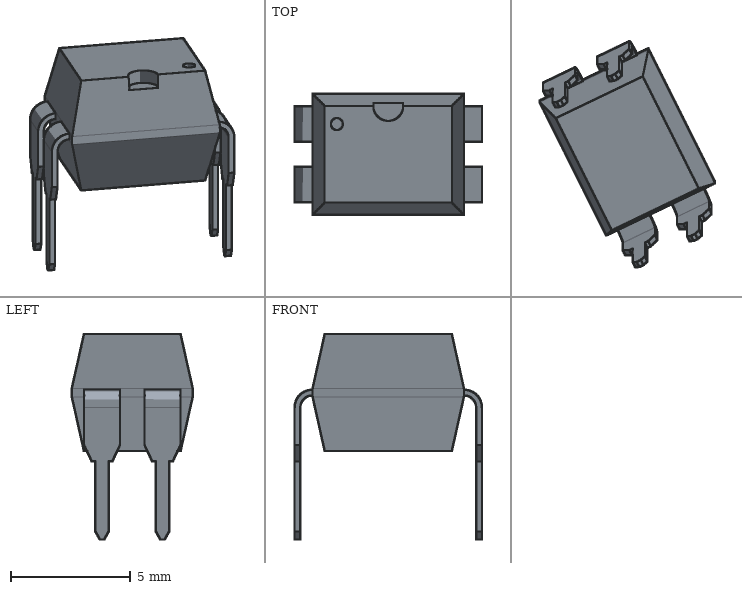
import cadquery as cq

total_height = 8.63
lead_span = 7.87

body_length = 6.36
body_width = 5.08
body_height = 4.92
band_height = 0.36
taper_inset = 0.51
mid_height = total_height - body_height / 2
half_height = (body_height - band_height) / 2

lead_pitch = 2.54
lead_thickness = 0.25
lead_width = 1.5
pin_width = 0.57
tip_width = 0.19
shoulder_width = 0.88
shoulder_top = 3.96
shoulder_bottom = 3.29
tip_height = 0.345
bend_radius = (lead_span - body_length) / 2
inner_bend_radius = bend_radius - lead_thickness
lead_top = mid_height + lead_thickness / 2

notch_radius = 0.63
notch_depth = 0.55
notch_y = body_width / 2 - taper_inset
dot_diameter = 0.5
dot_depth = 0.225
dot_x = -2.16
dot_y = lead_pitch / 2


def tapered_half(start_z, direction):
    """Half of the package, narrowing from the band upward (+1) or downward (-1)."""
    end_length = body_length - 2 * taper_inset
    end_width = body_width - 2 * taper_inset
    return (
        cq.Workplane("XY", origin=(0, 0, start_z))
        .rect(body_length, body_width)
        .workplane(offset=direction * half_height)
        .rect(end_length, end_width)
        .loft(ruled=True)
    )


def make_housing():
    band = cq.Workplane("XY", origin=(0, 0, mid_height)).box(body_length, body_width, band_height)
    upper = tapered_half(mid_height + band_height / 2, 1)
    lower = tapered_half(mid_height - band_height / 2, -1)
    notch = (
        cq.Workplane("XY", origin=(0, notch_y, total_height))
        .circle(notch_radius)
        .extrude(-notch_depth)
    )
    dot = (
        cq.Workplane("XY", origin=(dot_x, dot_y, total_height))
        .circle(dot_diameter / 2)
        .extrude(-dot_depth)
    )
    return band.union(upper).union(lower).cut(notch).cut(dot)


def make_lead(y_position):
    """Lead on the -X side: a bent strip trimmed to its shouldered outline."""
    bend_z = lead_top - bend_radius
    bend_x = -body_length / 2
    outer_x = -lead_span / 2
    bent_strip = (
        cq.Workplane("XZ", origin=(0, y_position, 0))
        .moveTo(bend_x, lead_top)
        .radiusArc((outer_x, bend_z), -bend_radius)
        .lineTo(outer_x, 0)
        .lineTo(outer_x + lead_thickness, 0)
        .lineTo(outer_x + lead_thickness, bend_z)
        .radiusArc((bend_x, bend_z + inner_bend_radius), inner_bend_radius)
        .close()
        .extrude(lead_width / 2, both=True)
    )
    right_half = [
        (lead_width / 2, lead_top),
        (lead_width / 2, shoulder_top),
        (shoulder_width / 2, shoulder_bottom),
        (pin_width / 2, shoulder_bottom),
        (pin_width / 2, tip_height),
        (tip_width / 2, 0),
    ]
    left_half = [(-y, z) for y, z in reversed(right_half)]
    outline = (
        cq.Workplane("YZ", origin=(outer_x, y_position, 0))
        .polyline(right_half + left_half)
        .close()
        .extrude(bend_radius)
    )
    return bent_strip.intersect(outline)


housing = make_housing()

leads = []
for y_side in (-1, 1):
    left_lead = make_lead(y_side * lead_pitch / 2)
    leads.append(left_lead.solids().val())
    leads.append(left_lead.rotate((0, 0, 0), (0, 0, 1), 180).solids().val())

result = cq.Compound.makeCompound([housing.solids().val(), *leads])